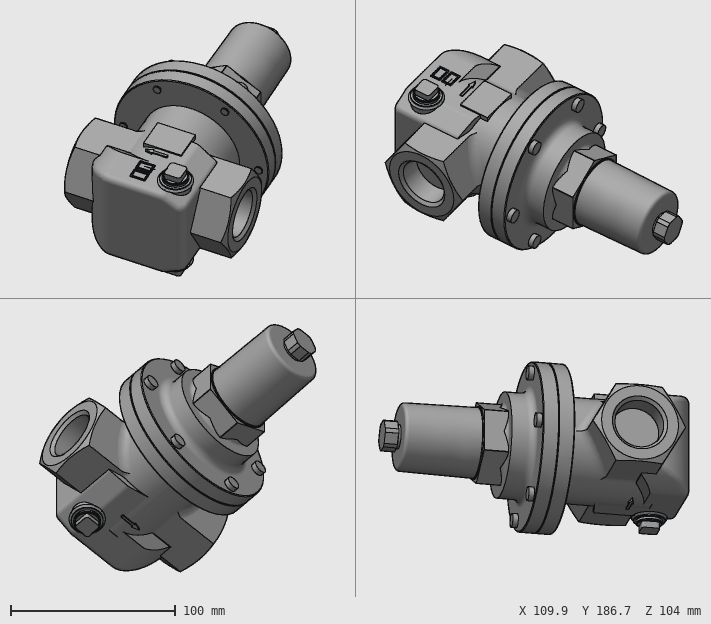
import cadquery as cq
import math


pipe_half_length = 54.96
pipe_flats = 50.0
pipe_corner_radius = pipe_flats / math.sqrt(3)
pipe_face_radius = 23.9
pipe_chamfer_length = 2.5
bore_radius = 15.1
bore_mouth_radius = 17.2
bore_chamfer = bore_mouth_radius - bore_radius
bore_depth = 15.9
pipe_root_fillet = 5.6

body_bottom_y = -38.3
neck_bottom_y = -18.7
flange_bottom_y = 39.8
flange_split_y = 49.6
flange_top_y = 59.5
disc_top_y = 74.6
hex_top_y = 89.8
cap_top_y = 138.1
nut_bottom_y = 140.0
nut_top_y = 148.4

flange_radius = 104.0 / 2
flange_groove_width = 0.7
flange_groove_depth = 0.7
flange_edge_chamfer = 0.5
screw_circle_radius = 45.5
screw_count = 6
screw_head_radius = 8.5 / 2
screw_head_height = 3.4
screw_tip_radius = 5.0 / 2
screw_tip_height = 1.0

neck_radius = 65.0 / 2
bonnet_fillet = 4.9
hex_flats = 45.7
hex_corner_radius = 26.3
hex_collar_flare = 2.8
cap_top_radius = 20.9
cap_base_radius = 21.6
cap_edge_round = 2.2
cap_collar_radius = 22.3
cap_collar_height = 0.7
nut_flats = 17.5
nut_corner_radius = 9.42
nut_neck_radius = 7.5

chamber_half_height = 32.3
chamber_left_x = -39.2
chamber_right_x = 32.1
chamber_shoulder_z = 25.4
chamber_flat_left_x = -20.9
chamber_flat_right_x = 17.7
chamber_floor_left_x = -20.2
chamber_side_y = -15.9
outlet_top_y = 16.0
outlet_corner_y = 10.0
inlet_ramp_top_y = -5.2
inlet_ramp_top_z = 25.8
inlet_ramp_foot_y = -13.6
chamber_wall_top_z = 20.9
chamber_arc_middle = (-30.2, 29.0)
inlet_arc_middle = (-32.3, -29.9)
outlet_corner_round = 4.9
inlet_corner_round = 13.0
inlet_crown_round = 11.2
shoulder_round = 5.6
chamber_rim_round = 3.7

plug_x = 18.8
plug_y = -22.0
plug_boss_radius = 9.7
plug_boss_top_z = 34.3
plug_foot_radius = 11.0
plug_washer_radius = 16.5 / 2
plug_washer_top_z = 35.8
plug_ring_radius = 15.0 / 2
plug_ring_top_z = 36.5
plug_head_side = 11.2
plug_head_top_z = 40.7
plug_head_round = 1.9

plate_width = 25.4
plate_bottom_y = -1.1
plate_top_y = 19.0
plate_top_z = 33.2
plate_base_z = 28.0
frame_center_x = -2.8
frame_centers_y = (-19.0, -27.2)
frame_width = 10.0
frame_height = 6.7
frame_line = 1.0
frame_top_z = 32.8
frame_base_z = 30.8

arrow_y = -5.5
arrow_tip_x = -9.1
arrow_head_x = -4.3
arrow_tail_x = 5.6
arrow_head_width = 3.4
arrow_shaft_width = 1.7
arrow_base_z = 30.8
arrow_top_z = 33.2


def turned(points):
    """Solid of revolution about Y from (radius, y) points."""
    return cq.Workplane("XY").polyline(points).close().revolve(360, (0, 0), (0, 1))


def disc(radius, low_y, high_y, x=0.0, z=0.0):
    """Cylinder parallel to Y."""
    plane = cq.Workplane("XZ", origin=(0, low_y, 0))
    return plane.center(x, z).circle(radius).extrude(low_y - high_y)


def hex_prism(flats, corner_radius, low_y, high_y, turn):
    """Hexagonal prism along Y with its corners trimmed to a cylinder."""
    plane = cq.Workplane("XZ", origin=(0, low_y, 0)).transformed(rotate=(0, 0, turn))
    prism = plane.polygon(6, 2 * flats / math.sqrt(3)).extrude(low_y - high_y)
    return prism.intersect(disc(corner_radius, low_y, high_y))


def make_pipe():
    prism = (
        cq.Workplane("YZ", origin=(-pipe_half_length, 0, 0))
        .polygon(6, 2 * pipe_corner_radius)
        .extrude(2 * pipe_half_length)
    )
    shoulder_x = pipe_half_length - pipe_chamfer_length
    envelope = (
        cq.Workplane("XY")
        .polyline([
            (-pipe_half_length, 0),
            (-pipe_half_length, pipe_face_radius),
            (-shoulder_x, pipe_corner_radius),
            (shoulder_x, pipe_corner_radius),
            (pipe_half_length, pipe_face_radius),
            (pipe_half_length, 0),
        ])
        .close()
        .revolve(360, (0, 0), (1, 0))
    )
    return prism.intersect(envelope)


def make_bores():
    mouth_x = pipe_half_length
    floor_x = pipe_half_length - bore_depth
    bore = (
        cq.Workplane("XY")
        .polyline([
            (floor_x, 0),
            (floor_x, bore_radius),
            (mouth_x - bore_chamfer, bore_radius),
            (mouth_x, bore_mouth_radius),
            (mouth_x, 0),
        ])
        .close()
        .revolve(360, (0, 0), (1, 0))
    )
    return bore.union(bore.mirror("YZ"))


def make_neck_with_pipe():
    """Neck joined to the pipe, filleted in one quarter and mirrored."""
    full_length = 2 * pipe_half_length
    quarter_box = cq.Workplane("XY").box(full_length, full_length, full_length, centered=(False, True, False))
    neck = disc(neck_radius, neck_bottom_y, flange_bottom_y)
    quarter = neck.union(make_pipe()).intersect(quarter_box)

    half_flat = pipe_flats / 2
    flat_root_x = math.sqrt(neck_radius ** 2 - half_flat ** 2)
    margin = 0.2
    flat_root = cq.selectors.BoxSelector(
        (flat_root_x - margin, -1.9, half_flat - margin), (flat_root_x + margin, 1.9, half_flat + margin))
    slope_root = cq.selectors.BoxSelector(
        (flat_root_x, 1.9, 0), (neck_radius, pipe_corner_radius, half_flat))
    quarter = quarter.edges(flat_root + slope_root).fillet(pipe_root_fillet)

    half = quarter.union(quarter.mirror("XY"))
    return half.union(half.mirror("YZ"))


def edge_through(x, y, z):
    """Selector for the edge nearest to a point."""
    return cq.selectors.NearestToPointSelector((x, y, z))


def make_chamber():
    """Rounded block around the pipe, built as its +Z half and mirrored."""
    middle_y = (body_bottom_y + outlet_top_y) / 2
    section = (
        cq.Workplane("XZ", origin=(0, outlet_top_y, 0))
        .moveTo(chamber_left_x, 0)
        .lineTo(chamber_left_x, chamber_wall_top_z)
        .threePointArc(chamber_arc_middle, (chamber_flat_left_x, chamber_half_height))
        .lineTo(chamber_flat_right_x, chamber_half_height)
        .lineTo(chamber_right_x, chamber_shoulder_z)
        .lineTo(chamber_right_x, 0)
        .close()
        .extrude(outlet_top_y - body_bottom_y)
    )
    right_edge = edge_through(chamber_flat_right_x, middle_y, chamber_half_height)
    left_edge = edge_through(chamber_flat_left_x, middle_y, chamber_half_height)
    section = section.edges("|Y").edges(right_edge).fillet(shoulder_round)
    section = section.edges("|Y").edges(left_edge).fillet(inlet_crown_round)

    plan = (
        cq.Workplane("XY")
        .moveTo(chamber_floor_left_x, body_bottom_y)
        .lineTo(chamber_right_x, body_bottom_y)
        .lineTo(chamber_right_x, outlet_corner_y)
        .lineTo(0, outlet_top_y)
        .lineTo(chamber_left_x, outlet_top_y)
        .lineTo(chamber_left_x, chamber_side_y)
        .threePointArc(inlet_arc_middle, (chamber_floor_left_x, body_bottom_y))
        .close()
        .extrude(chamber_half_height)
    )
    plan = plan.edges("|Z and >X and <Y").fillet(outlet_corner_round)
    inlet_corner = edge_through(chamber_floor_left_x, body_bottom_y, chamber_half_height / 2)
    plan = plan.edges("|Z").edges(inlet_corner).fillet(inlet_corner_round)

    block = section.intersect(plan)
    rim = cq.selectors.BoxSelector(
        (chamber_left_x, body_bottom_y - 1.9, chamber_wall_top_z),
        (chamber_right_x, chamber_side_y, chamber_half_height + 1.9))
    block = block.edges(rim).edges("not (|Y or |Z)").fillet(chamber_rim_round)

    inlet_cut = (
        cq.Workplane("YZ", origin=(chamber_left_x, 0, 0))
        .polyline([
            (inlet_ramp_foot_y, chamber_half_height),
            (inlet_ramp_top_y, inlet_ramp_top_z),
            (inlet_ramp_top_y, 0),
            (outlet_top_y, 0),
            (outlet_top_y, chamber_half_height),
        ])
        .close()
        .extrude(-chamber_left_x)
    )
    half = block.cut(inlet_cut)
    return half.union(half.mirror("XY"))


def make_flanges():
    edge = flange_edge_chamfer
    groove = flange_groove_width / 2
    flanges = turned([
        (0, flange_bottom_y),
        (flange_radius - edge, flange_bottom_y),
        (flange_radius, flange_bottom_y + edge),
        (flange_radius, flange_split_y - groove),
        (flange_radius - flange_groove_depth, flange_split_y),
        (flange_radius, flange_split_y + groove),
        (flange_radius, flange_top_y - edge),
        (flange_radius - edge, flange_top_y),
        (0, flange_top_y),
    ])
    for index in range(screw_count):
        angle = math.radians(index * 360 / screw_count)
        x = screw_circle_radius * math.cos(angle)
        z = screw_circle_radius * math.sin(angle)
        head = disc(screw_head_radius, flange_split_y, flange_top_y + screw_head_height, x, z)
        tip = disc(screw_tip_radius, flange_bottom_y - screw_tip_height, flange_split_y, x, z)
        flanges = flanges.union(head).union(tip)
    return flanges


def make_bonnet():
    """Disc with a concave foot, topped by a hexagon with a flared collar."""
    diagonal = math.sqrt(0.5)
    inset = 1 - diagonal
    hex_radius = hex_flats / 2
    body = (
        cq.Workplane("XY")
        .moveTo(0, flange_top_y)
        .lineTo(neck_radius + bonnet_fillet, flange_top_y)
        .threePointArc(
            (neck_radius + bonnet_fillet * inset, flange_top_y + bonnet_fillet * inset),
            (neck_radius, flange_top_y + bonnet_fillet))
        .lineTo(neck_radius, disc_top_y)
        .lineTo(hex_radius + hex_collar_flare, disc_top_y)
        .threePointArc(
            (hex_radius + hex_collar_flare * inset, disc_top_y + hex_collar_flare * inset),
            (hex_radius, disc_top_y + hex_collar_flare))
        .lineTo(0, disc_top_y + hex_collar_flare)
        .close()
        .revolve(360, (0, 0), (0, 1))
    )
    return body.union(hex_prism(hex_flats, hex_corner_radius, disc_top_y, hex_top_y, 90))


def make_cap():
    cap = turned([
        (0, hex_top_y),
        (cap_base_radius, hex_top_y),
        (cap_top_radius, cap_top_y),
        (0, cap_top_y),
    ])
    cap = cap.faces(">Y").edges().fillet(cap_edge_round)
    cap = cap.union(disc(cap_collar_radius, hex_top_y, hex_top_y + cap_collar_height))
    neck = disc(nut_neck_radius, cap_top_y, nut_bottom_y)
    return cap.union(neck).union(hex_prism(nut_flats, nut_corner_radius, nut_bottom_y, nut_top_y, 0))


def make_plug():
    base = cq.Workplane("XY").center(plug_x, plug_y)
    plug = base.circle(plug_boss_radius).extrude(plug_boss_top_z)
    foot_width = plug_foot_radius - plug_boss_radius
    foot = (
        base.workplane(offset=chamber_half_height)
        .circle(plug_foot_radius)
        .extrude(foot_width, taper=45)
    )
    plug = plug.union(foot).union(base.circle(plug_washer_radius).extrude(plug_washer_top_z))
    plug = plug.union(base.circle(plug_ring_radius).extrude(plug_ring_top_z))
    head = base.rect(plug_head_side, plug_head_side).extrude(plug_head_top_z)
    return plug.union(head.edges("|Z").fillet(plug_head_round))


def make_plate():
    center_y = (plate_bottom_y + plate_top_y) / 2
    plane = cq.Workplane("XY", origin=(0, center_y, plate_base_z))
    return plane.rect(plate_width, plate_top_y - plate_bottom_y).extrude(plate_top_z - plate_base_z)


def make_frame(center_y):
    plane = cq.Workplane("XY", origin=(frame_center_x, center_y, frame_base_z))
    outline = plane.rect(frame_width, frame_height)
    window = outline.rect(frame_width - 2 * frame_line, frame_height - 2 * frame_line)
    return window.extrude(frame_top_z - frame_base_z)


def make_arrow():
    head = arrow_head_width / 2
    shaft = arrow_shaft_width / 2
    outline = [
        (arrow_tip_x, 0),
        (arrow_head_x, head),
        (arrow_head_x, shaft),
        (arrow_tail_x, shaft),
        (arrow_tail_x, -shaft),
        (arrow_head_x, -shaft),
        (arrow_head_x, -head),
    ]
    plane = cq.Workplane("XY", origin=(0, arrow_y, arrow_base_z))
    return plane.polyline(outline).close().extrude(arrow_top_z - arrow_base_z)


plug = make_plug()
arrow = make_arrow()
result = make_neck_with_pipe().union(make_chamber())
result = result.union(make_flanges()).union(make_bonnet()).union(make_cap())
result = result.union(plug).union(plug.mirror("XY")).union(make_plate())
result = result.union(arrow).union(arrow.mirror("XY"))
for frame_y in frame_centers_y:
    result = result.union(make_frame(frame_y))
result = result.cut(make_bores())